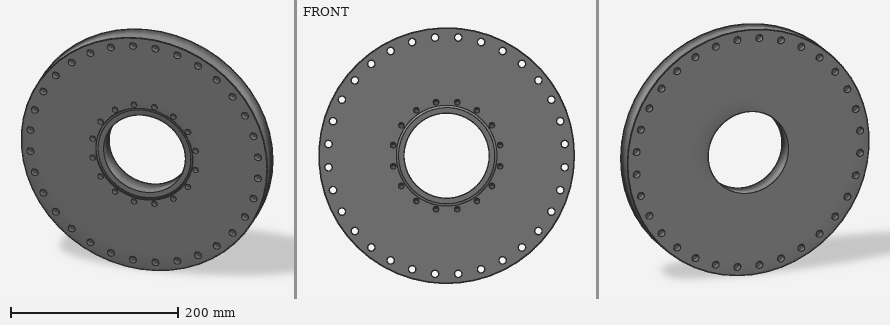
import cadquery as cq
import math

disc_diameter = 306.0
thickness = 26.0
rim_chamfer = 0.5
bore_diameter = 101.5

recess_diameter = 120.5
knife_diameter = 115.0
knife_drop = 1.2
recess_depth = 2.0

bolt_count = 32
bolt_circle = 284.0
bolt_hole_diameter = 8.5

blind_count = 16
blind_circle = 130.5
blind_hole_diameter = 6.7
blind_hole_depth = 16.8
drill_tip_angle = 118.0

front = -thickness / 2
back = thickness / 2
AXIS_START = (0, 0, 0)
AXIS_END = (0, 1, 0)


def revolve_about_y(points):
    """Turn a closed (radius, y) outline about the Y axis."""
    return cq.Workplane("XY").polyline(points).close().revolve(360, AXIS_START, AXIS_END)


def flange_body():
    """Chamfered disc with the bore, the gasket recess and the knife edge."""
    rim = disc_diameter / 2
    bore = bore_diameter / 2
    recess = recess_diameter / 2
    knife = knife_diameter / 2
    return revolve_about_y([
        (bore, back),
        (rim - rim_chamfer, back),
        (rim, back - rim_chamfer),
        (rim, front + rim_chamfer),
        (rim - rim_chamfer, front),
        (recess, front),
        (recess, front + recess_depth),
        (knife, front + knife_drop),
        (bore, front + knife_drop),
    ])


def through_hole():
    """Cutter for a bolt hole, centred on the Y axis."""
    radius = bolt_hole_diameter / 2
    return revolve_about_y([(0, front), (radius, front), (radius, back), (0, back)])


def blind_hole():
    """Cutter for a drilled blind hole, centred on the Y axis."""
    radius = blind_hole_diameter / 2
    shoulder = front + blind_hole_depth
    tip = shoulder + radius / math.tan(math.radians(drill_tip_angle / 2))
    return revolve_about_y([(0, front), (radius, front), (radius, shoulder), (0, tip)])


def cut_ring(body, cutter, count, circle_diameter):
    """Cut evenly spaced holes, with the Z axis midway between two of them."""
    pitch = 360 / count
    first = cutter.translate((0, 0, circle_diameter / 2))
    for index in range(count):
        angle = (index + 0.5) * pitch
        body = body.cut(first.rotate(AXIS_START, AXIS_END, angle))
    return body


result = flange_body()
result = cut_ring(result, through_hole(), bolt_count, bolt_circle)
result = cut_ring(result, blind_hole(), blind_count, blind_circle)